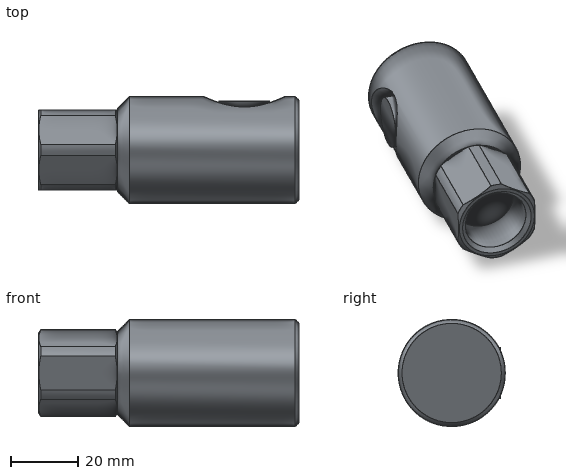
import cadquery as cq
import math

length = 77.8
body_diameter = 32.0
body_radius = body_diameter / 2
body_end_chamfer = 1.2

hex_across_flats = 24.0
hex_corner_radius = 13.0
hex_end_radius = 11.75
hex_chamfer_length = 0.7
neck_length = 23.65

shoulder_radius = 12.45
shoulder_end = neck_length + body_radius - shoulder_radius

bore_radius = 9.5
bore_depth = 13.2
bore_chamfer = 1.25

button_x = 61.5
button_radius = 7.55
button_top = 14.6
recess_radius = 12.1
recess_half_angle = 40.0
recess_depth = (recess_radius - button_radius) / math.tan(math.radians(recess_half_angle))


def revolve_about_x(points):
    """Revolve an (X, radius) outline about the X axis."""
    return cq.Workplane("XY").polyline(points).close().revolve(360, (0, 0), (1, 0))


def make_body():
    return revolve_about_x([
        (neck_length, 0),
        (neck_length, shoulder_radius),
        (shoulder_end, body_radius),
        (length - body_end_chamfer, body_radius),
        (length, body_radius - body_end_chamfer),
        (length, 0),
    ])


def make_neck():
    hexagon = (
        cq.Workplane("YZ")
        .polygon(6, hex_across_flats, circumscribed=True)
        .extrude(neck_length)
    )
    corner_envelope = revolve_about_x([
        (0, 0),
        (0, hex_end_radius),
        (hex_chamfer_length, hex_corner_radius),
        (neck_length - hex_chamfer_length, hex_corner_radius),
        (neck_length, hex_end_radius),
        (neck_length, 0),
    ])
    return hexagon.intersect(corner_envelope)


def make_bore():
    return revolve_about_x([
        (0, 0),
        (0, bore_radius + bore_chamfer),
        (bore_chamfer, bore_radius),
        (bore_depth, bore_radius),
        (bore_depth, 0),
    ])


def make_recess_and_button():
    """Conical recess cutter and the button that stands in it."""
    floor = body_radius - recess_depth
    cone = (
        cq.Workplane("XY")
        .polyline([
            (button_x, floor),
            (button_x + button_radius, floor),
            (button_x + recess_radius, body_radius),
            (button_x, body_radius),
        ])
        .close()
        .revolve(360, (button_x, 0), (button_x, 1))
    )
    button = (
        cq.Workplane("XZ", origin=(button_x, floor, 0))
        .circle(button_radius)
        .extrude(floor - button_top)
    )
    return cone, button


recess, button = make_recess_and_button()
result = make_body().union(make_neck()).cut(make_bore()).cut(recess).union(button)